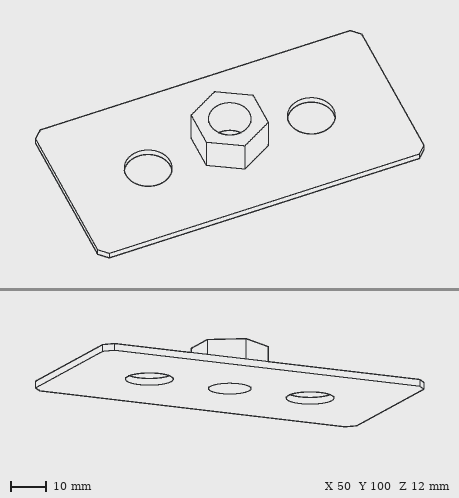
import cadquery as cq
import math

plate_width = 50.0
plate_length = 100.0
plate_thickness = 2.0
corner_chamfer = 2.5

nut_height = 10.0
nut_across_flats = 19.0
nut_across_corners = nut_across_flats / math.cos(math.pi / 6)
nut_bore_diameter = 12.0

fixing_hole_diameter = 13.5
fixing_hole_offset = plate_length / 4


def make_plate():
    """Flat plate with chamfered corners and two fixing holes."""
    fixing_hole_centres = [(0, -fixing_hole_offset), (0, fixing_hole_offset)]
    return (
        cq.Workplane("XY")
        .box(plate_width, plate_length, plate_thickness, centered=(True, True, False))
        .edges("|Z")
        .chamfer(corner_chamfer)
        .faces(">Z")
        .workplane(origin=(0, 0, plate_thickness))
        .pushPoints(fixing_hole_centres)
        .hole(fixing_hole_diameter)
    )


def make_nut():
    """Solid hexagonal prism resting on the top face of the plate."""
    return (
        cq.Workplane("XY", origin=(0, 0, plate_thickness))
        .polygon(6, nut_across_corners)
        .extrude(nut_height)
    )


def make_bore():
    """Cylinder that passes through both the nut and the plate."""
    return cq.Workplane("XY").circle(nut_bore_diameter / 2).extrude(plate_thickness + nut_height)


result = make_plate().union(make_nut()).cut(make_bore())